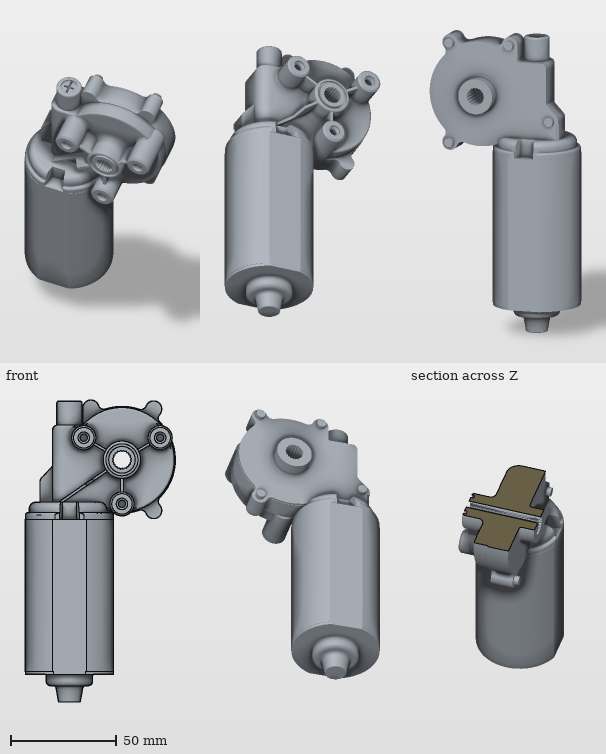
import cadquery as cq
import math

can_radius = 21.1
can_half_depth = 19.5
band_radius = 21.0
end_band_top = 14.6
can_bottom = 13.2
can_top = 86.8
rim_top = 90.0
rim_half_depth = 19.8
rim_edge = 1.1
cap_radius = 19.1
cap_top = 95.0
cap_edge = 3.2
notch_floor = 13.0
notch_inner_half = 3.3
notch_outer_half = 5.0

boss_radius = 11.0
boss_bottom = 7.7
boss_edge = 2.2
boss_root = 0.7
nose_top_radius = 6.3
nose_tip_radius = 5.2
nose_root = 1.5
nose_edge = 0.6

wheel_x = 25.0
wheel_z = 115.1
housing_back = 10.3
housing_mid = -0.5
housing_front = -7.3
rear_radius = 25.4
front_radius = 24.8
front_edge = 1.0
cover_thickness = 1.1
cover_inset = 0.1

block_left = -8.0
block_top = 131.6
block_base = 91.8
block_foot_right = 17.2
block_corner = 6.0
block_side_edge = 2.5
block_front_edge = 1.0

front_hub_radius = 8.9
front_hub_end = -18.2
front_hub_root = 2.6
front_hub_edge = 1.0
groove_outer_radius = 7.6
groove_inner_radius = 6.3
groove_depth = 1.5
rear_hub_radius = 8.5
rear_hub_end = 17.7
rear_hub_root = 1.0
bore_root_radius = 4.5
bore_tip_radius = 4.0
bore_teeth = 20

post_angles = [30, 150, 270]
post_circle = 21.0
post_radius = 5.7
post_end = -21.0
post_edge = 0.9
post_root = 1.36
post_hole_radius = 1.7
post_hole_mouth = 2.7
post_hole_depth = 11.5

rib_thickness = 1.22
rib_front = -17.5
long_rib_angle = 214.7
long_rib_step_start = 16.6
long_rib_step_end = 20.7
long_rib_low_front = -10.5
long_rib_length = 38.7

ear_radius = 3.9
left_ear_dx = 14.8
left_ear_dz = 24.5
right_ear_dx = 15.0
right_ear_dz = 24.1
ear_fillet = 2.7
pin_radius = 2.2
pin_end = 12.6
ear_centres = [
    (wheel_x - left_ear_dx, wheel_z + left_ear_dz),
    (wheel_x + right_ear_dx, wheel_z + right_ear_dz),
    (wheel_x + right_ear_dx, wheel_z - right_ear_dz),
]

side_ear_left = -14.0
side_ear_corner_z = 105.6
side_ear_top_z = 112.1
side_ear_rounding = 2.9
side_ear_bevel = 1.3
side_ear_bevel_top = 102.6
side_pin_x = -9.9
side_pin_z = 103.9

turret_radius = 6.0
turret_top = 142.9
turret_edge = 0.9
recess_radius = 4.0
recess_depth = 0.7
slot_width = 1.1
slot_length = 7.7
cross_slot_length = 4.9
slot_depth = 2.2
slot_centre_side = 2.0

block_right = wheel_x - left_ear_dx - ear_radius
block_outline = [
    (block_left, block_base),
    (block_foot_right, block_base),
    (block_foot_right, wheel_z),
    (block_right, block_top),
    (block_left, block_top),
]


def cylinder_z(radius, bottom, top):
    """Upright cylinder around the motor axis."""
    return cq.Workplane("XY", origin=(0, 0, bottom)).circle(radius).extrude(top - bottom)


def cylinder_y(x, z, radius, front, back):
    """Cylinder parallel to the wheel axis."""
    return cq.Workplane("XZ", origin=(x, back, z)).circle(radius).extrude(back - front)


def slab(outline, front, back):
    """Straight-sided body with an X-Z outline between two Y positions."""
    return cq.Workplane("XZ", origin=(0, back, 0)).polyline(outline).close().extrude(back - front)


def root_flare(radius, root, surface, direction):
    """Ring that blends a hub or post around the Y axis into the surface it stands on."""
    middle = root * (1 - math.sqrt(0.5))
    profile = (
        cq.Workplane("XY")
        .moveTo(0, surface)
        .lineTo(radius + root, surface)
        .threePointArc(
            (radius + middle, surface + direction * middle),
            (radius, surface + direction * root),
        )
        .lineTo(0, surface + direction * root)
        .close()
    )
    return profile.revolve(360, (0, 0, 0), (0, 1, 0))


def flattened(body, half_depth):
    """Keep only the part of a motor body between its front and back flats."""
    return body.intersect(cq.Workplane("XY").box(3 * can_radius, 2 * half_depth, 4 * cap_top))


def make_notch(side):
    """Tapered notch through the rim and cap at one of the flats."""
    outline = [
        (-notch_inner_half, side * notch_floor),
        (notch_inner_half, side * notch_floor),
        (notch_outer_half, side * can_radius),
        (-notch_outer_half, side * can_radius),
    ]
    return cq.Workplane("XY", origin=(0, 0, can_top)).polyline(outline).close().extrude(cap_top - can_top)


def make_boss():
    """Bearing boss and tapered nose, turned around the motor axis."""
    return (
        cq.Workplane("XZ")
        .moveTo(0, 0)
        .lineTo(nose_tip_radius, 0)
        .lineTo(nose_top_radius, boss_bottom - nose_root)
        .radiusArc((nose_top_radius + nose_root, boss_bottom), nose_root)
        .lineTo(boss_radius - boss_edge, boss_bottom)
        .radiusArc((boss_radius, boss_bottom + boss_edge), -boss_edge)
        .lineTo(boss_radius, can_bottom - boss_root)
        .radiusArc((boss_radius + boss_root, can_bottom), boss_root)
        .lineTo(0, can_bottom)
        .close()
        .revolve(360, (0, 0, 0), (0, 1, 0))
        .faces("<Z").edges().fillet(nose_edge)
    )


def make_motor():
    """Can with its rim, end band, cap and bearing boss, notched at both flats."""
    end_band = flattened(cylinder_z(band_radius, can_bottom, end_band_top), can_half_depth)
    can = flattened(cylinder_z(can_radius, end_band_top, can_top), can_half_depth)
    rim = cylinder_z(band_radius, can_top, rim_top).faces(">Z").edges().fillet(rim_edge)
    cap = cylinder_z(cap_radius, can_top, cap_top).faces(">Z").edges().fillet(cap_edge)
    motor = can.union(end_band).union(flattened(rim, rim_half_depth)).union(cap).union(make_boss())
    return motor.cut(make_notch(1)).cut(make_notch(-1))


def make_block():
    """Worm block with a rounded outer front corner and rounded top edges."""
    block = slab(block_outline, housing_front, housing_back).faces("<X").edges(">Z").fillet(block_side_edge)
    plan = (
        cq.Workplane("XY", origin=(0, 0, block_base))
        .moveTo(block_left, housing_back)
        .lineTo(block_left, housing_front + block_corner)
        .radiusArc((block_left + block_corner, housing_front), -block_corner)
        .lineTo(block_foot_right, housing_front)
        .lineTo(block_foot_right, housing_back)
        .close()
        .extrude(block_top - block_base)
    )
    return block.intersect(plan).faces("<Y").edges(">Z").fillet(block_front_edge)


def make_rear_layer(disc_radius, front, back):
    """Disc between two Y positions with three round ears blended into its rim."""
    layer = cylinder_y(wheel_x, wheel_z, disc_radius, front, back)
    for x, z in ear_centres:
        layer = layer.union(cylinder_y(x, z, ear_radius, front, back))
    return layer.edges("|Y").fillet(ear_fillet)


def make_rear_half():
    """Rear body and its slightly smaller cover, filled in between the left ear and the worm block."""
    cover_front = housing_back - cover_thickness
    body = make_rear_layer(rear_radius, housing_mid, cover_front)
    cover = make_rear_layer(rear_radius - cover_inset, cover_front, housing_back)
    left_ear_x, left_ear_z = ear_centres[0]
    fill = [
        (block_right, wheel_z),
        (left_ear_x, wheel_z),
        (left_ear_x, left_ear_z),
        (block_right, left_ear_z),
    ]
    return body.union(cover).union(slab(fill, housing_mid, housing_back))


def make_side_ear():
    """Sloped ear left of the block, bevelled along the lower part of its rear edge."""
    outline = [
        (side_ear_left, block_base),
        (block_left, block_base),
        (block_left, side_ear_top_z),
        (side_ear_left, side_ear_corner_z),
    ]
    ear = slab(outline, housing_mid, housing_back)
    corner = (side_ear_left, (housing_mid + housing_back) / 2, side_ear_corner_z)
    ear = ear.edges(cq.selectors.NearestToPointSelector(corner)).fillet(side_ear_rounding)
    bevel = [
        (side_ear_left, housing_back),
        (side_ear_left + side_ear_bevel, housing_back),
        (side_ear_left, housing_back - side_ear_bevel),
    ]
    wedge = cq.Workplane("XY", origin=(0, 0, block_base)).polyline(bevel).close()
    return ear.cut(wedge.extrude(side_ear_bevel_top - block_base))


def make_turret():
    """Round housing of the adjusting screw, with its crossed slots sunk in a recess."""
    turret = cylinder_z(turret_radius, block_top - block_side_edge, turret_top)
    turret = turret.faces(">Z").edges().fillet(turret_edge)
    turret = turret.cut(cylinder_z(recess_radius, turret_top - recess_depth, turret_top))
    slots = cq.Workplane("XY", origin=(0, 0, turret_top))
    long_slot = slots.rect(slot_width, slot_length).extrude(-slot_depth)
    cross_slot = slots.rect(cross_slot_length, slot_width).extrude(-slot_depth)
    centre = slots.transformed(rotate=(0, 0, 45)).rect(slot_centre_side, slot_centre_side).extrude(-slot_depth)
    return turret.cut(long_slot).cut(cross_slot).cut(centre)


def make_post():
    """Screw post on the Y axis."""
    return cylinder_y(0, 0, post_radius, post_end, housing_mid).faces("<Y").edges().chamfer(post_edge)


def make_post_hole():
    """Countersunk blind hole in the end of a post."""
    hole = cylinder_y(0, 0, post_hole_radius, post_end, post_end + post_hole_depth)
    mouth_depth = post_hole_mouth - post_hole_radius
    mouth = cylinder_y(0, 0, post_hole_mouth, post_end, post_end + 2 * mouth_depth)
    return hole.union(mouth.faces(">Y").edges().chamfer(mouth_depth))


def make_front_hub():
    """Front hub on the Y axis, with a ring groove around the bore and a flared root."""
    hub = cylinder_y(0, 0, front_hub_radius, front_hub_end, housing_mid)
    hub = hub.faces("<Y").edges().fillet(front_hub_edge)
    groove = (
        cq.Workplane("XZ", origin=(0, front_hub_end + groove_depth, 0))
        .circle(groove_outer_radius)
        .circle(groove_inner_radius)
        .extrude(groove_depth)
    )
    return hub.union(root_flare(front_hub_radius, front_hub_root, housing_front, -1)).cut(groove)


def make_bore():
    """Splined through bore on the Y axis, with pointed teeth."""
    outline = []
    for corner in range(2 * bore_teeth):
        radius = bore_root_radius if corner % 2 else bore_tip_radius
        turn = math.pi * corner / bore_teeth
        outline.append((radius * math.cos(turn), radius * math.sin(turn)))
    return slab(outline, front_hub_end, rear_hub_end)


def make_rear_hub():
    """Rear hub on the Y axis, with a flared root."""
    hub = cylinder_y(0, 0, rear_hub_radius, housing_mid, rear_hub_end)
    return hub.union(root_flare(rear_hub_radius, rear_hub_root, housing_back, 1))


def make_rib(angle, profile):
    """Radial rib; its profile lists points as (distance from the wheel axis, Y)."""
    blade = cq.Workplane("XY").polyline(profile).close().extrude(rib_thickness / 2, both=True)
    return blade.rotate((0, 0, 0), (0, 1, 0), -angle)


def place_on_wheel(body):
    """Move a body from the Y axis to the wheel axis."""
    return body.translate((wheel_x, 0, wheel_z))


def place_on_circle(body, angle):
    """Move a body from the Y axis to a place on the screw post circle."""
    turn = math.radians(angle)
    return place_on_wheel(body.translate((post_circle * math.cos(turn), 0, post_circle * math.sin(turn))))


def make_ribs():
    """Short ribs out to the posts and the long stepped rib, all starting inside the front hub."""
    start = (groove_outer_radius + front_hub_radius) / 2
    short_profile = [
        (start, housing_mid),
        (post_circle - post_radius / 2, housing_mid),
        (post_circle - post_radius / 2, rib_front),
        (start, rib_front),
    ]
    long_profile = [
        (start, housing_mid),
        (long_rib_length, housing_mid),
        (long_rib_length, long_rib_low_front),
        (long_rib_step_end, long_rib_low_front),
        (long_rib_step_start, rib_front),
        (start, rib_front),
    ]
    ribs = make_rib(long_rib_angle, long_profile)
    for angle in post_angles:
        ribs = ribs.union(make_rib(angle, short_profile))
    return place_on_wheel(ribs)


def make_post_roots():
    """Flared roots of the posts, cut off where they would overhang the front face."""
    face_radius = front_radius - front_edge
    front_face = cylinder_y(wheel_x, wheel_z, face_radius, post_end, housing_front)
    front_face = front_face.union(slab(block_outline, post_end, housing_front))
    flare = root_flare(post_radius, post_root, housing_front, -1)
    roots = cq.Workplane("XY")
    for angle in post_angles:
        roots = roots.add(place_on_circle(flare, angle))
    return roots.combine().intersect(front_face)


def make_housing():
    """Gear housing with hubs, ribs, posts, ears and pins."""
    front_disc = cylinder_y(wheel_x, wheel_z, front_radius, housing_front, housing_mid)
    front_disc = front_disc.faces("<Y").edges().fillet(front_edge)
    housing = make_rear_half().union(front_disc).union(make_block())
    housing = housing.union(make_side_ear()).union(make_turret())
    for x, z in ear_centres + [(side_pin_x, side_pin_z)]:
        housing = housing.union(cylinder_y(x, z, pin_radius, housing_mid, pin_end))
    housing = housing.union(place_on_wheel(make_front_hub())).union(place_on_wheel(make_rear_hub()))
    housing = housing.union(make_ribs()).union(make_post_roots())
    for angle in post_angles:
        housing = housing.union(place_on_circle(make_post(), angle))
        housing = housing.cut(place_on_circle(make_post_hole(), angle))
    return housing.cut(place_on_wheel(make_bore()))


result = make_motor().union(make_housing())